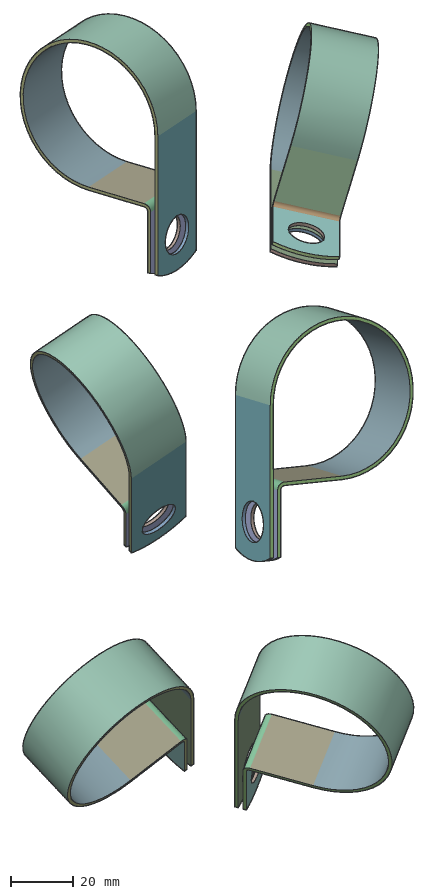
import cadquery as cq

height = 79.0
loop_diameter = 53.2
strip_width = 22.2
thickness = 1.2
tab_gap = 1.6
bend_outer_radius = 2.5
short_tab_hole_diameter = 11.9
long_tab_hole_diameter = 13.4
hole_height = 12.7
tip_rise = 2.5

outer_radius = loop_diameter / 2
inner_radius = outer_radius - thickness
bottom = outer_radius - height
short_tab_right = inner_radius - tab_gap
short_tab_left = short_tab_right - thickness
bend_inner_radius = bend_outer_radius - thickness
bend_x = short_tab_right - bend_outer_radius
bend_z = -inner_radius - bend_outer_radius
diagonal = 0.5 ** 0.5


def bent_strip():
    """Side profile of the bent strip, extruded across its width."""
    profile = (
        cq.Workplane("XZ")
        .moveTo(outer_radius, bottom)
        .lineTo(outer_radius, 0)
        .threePointArc((-outer_radius * diagonal, outer_radius * diagonal), (0, -outer_radius))
        .lineTo(bend_x, -outer_radius)
        .threePointArc(
            (bend_x + bend_inner_radius * diagonal, bend_z + bend_inner_radius * diagonal),
            (short_tab_left, bend_z),
        )
        .lineTo(short_tab_left, bottom)
        .lineTo(short_tab_right, bottom)
        .lineTo(short_tab_right, bend_z)
        .threePointArc(
            (bend_x + bend_outer_radius * diagonal, bend_z + bend_outer_radius * diagonal),
            (bend_x, -inner_radius),
        )
        .lineTo(0, -inner_radius)
        .threePointArc((-inner_radius * diagonal, inner_radius * diagonal), (inner_radius, 0))
        .lineTo(inner_radius, bottom)
        .close()
    )
    return profile.extrude(strip_width / 2, both=True)


def rounded_end_envelope():
    """Block as wide as the strip whose lower end is the arc of the tab tips."""
    half_width = strip_width / 2
    return (
        cq.Workplane("YZ")
        .moveTo(-half_width, outer_radius)
        .lineTo(-half_width, bottom + tip_rise)
        .threePointArc((0, bottom), (half_width, bottom + tip_rise))
        .lineTo(half_width, outer_radius)
        .close()
        .extrude(outer_radius, both=True)
    )


def tab_hole(tab_left, diameter):
    """Cylinder along X that pierces the tab whose left face is at tab_left."""
    return (
        cq.Workplane("YZ", origin=(tab_left, 0, bottom + hole_height))
        .circle(diameter / 2)
        .extrude(thickness)
    )


result = (
    bent_strip()
    .intersect(rounded_end_envelope())
    .cut(tab_hole(short_tab_left, short_tab_hole_diameter))
    .cut(tab_hole(inner_radius, long_tab_hole_diameter))
)